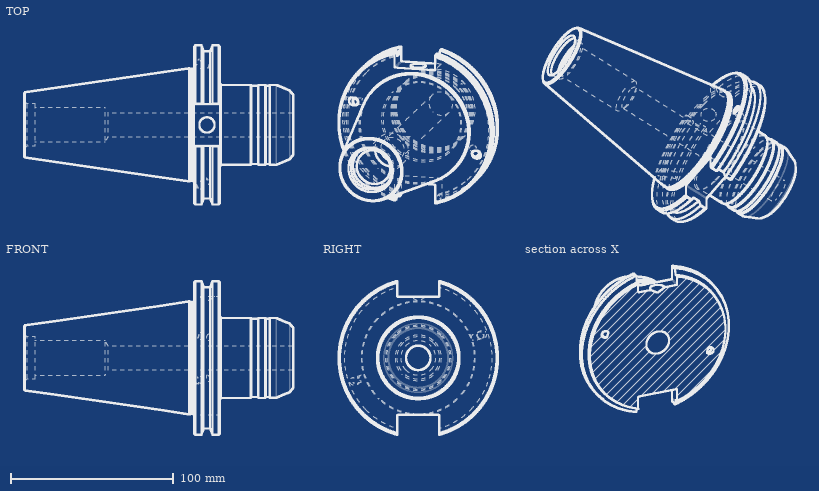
import cadquery as cq
import math

LENGTH = 166.1

TAPER_RATIO = 7 / 24
TAPER_LENGTH = 101.8
TAPER_LARGE_DIAMETER = 70.0
TAPER_SMALL_DIAMETER = TAPER_LARGE_DIAMETER - TAPER_LENGTH * TAPER_RATIO
TAPER_END_CHAMFER = 0.7

RELIEF_DIAMETER = 69.3
RELIEF_START = 102.8
RELIEF_ROOT_CHAMFER = 0.5

FLANGE_START = 104.8
FLANGE_WIDTH = 16.0
FLANGE_END = FLANGE_START + FLANGE_WIDTH
FLANGE_MIDDLE = (FLANGE_START + FLANGE_END) / 2
FLANGE_DIAMETER = 98.5
FLANGE_CHAMFER = 1.0
GROOVE_DIAMETER = 91.0
GROOVE_MOUTH_WIDTH = 7.0
GROOVE_FLOOR_WIDTH = 4.0

SLOT_WIDTH = 25.7
TOP_SLOT_FLOOR = 37.7
BOTTOM_SLOT_FLOOR = 35.2
SLOT_CORNER_RADIUS = 0.5
SLOT_RIM_CHAMFER = 0.3
DIMPLE_DIAMETER = 9.5
DIMPLE_POINT_ANGLE = 118

NECK_DIAMETER = 49.5
NECK_ROOT_CHAMFER = 0.8
RING_GROOVE_DIAMETER = 48.5
RING_GROOVES = ((139.5, 144.7), (148.5, 151.6))
RING_GROOVE_EDGE_BREAK = 0.2
RING_GROOVE_RAMP = 0.3
NOSE_START = 155.5
NOSE_TIP_START = 163.8
NOSE_TIP_DIAMETER = 42.5
NOSE_END_DIAMETER = 36.9
NOSE_EDGE_RADIUS = 0.8

BORE_MOUTH_DIAMETER = 28.4
BORE_PILOT_DIAMETER = 26.2
BORE_MOUTH_CONE_DEPTH = 1.8
BORE_PILOT_DEPTH = 6.6
BORE_DRILL_DIAMETER = 21.5
BORE_DRILL_DEPTH = 49.8
BORE_DRILL_POINT_ANGLE = 118
THROUGH_DIAMETER = 15.0

COOLANT_RADIUS = 41.9
COOLANT_ANGLE = 20
COOLANT_TILT = 30
COOLANT_MOUTH_DIAMETER = 5.0
COOLANT_MOUTH_DEPTH = 2.2
COOLANT_DIAMETER = 4.2
COOLANT_DEPTH = 10.0


def revolve_profile(points):
    """Revolve (x, radius) points, closed along the axis, about the X axis."""
    return cq.Workplane("XY").polyline(points).close().revolve(360, (0, 0, 0), (1, 0, 0))


def turned_body():
    """Solid of all turned outer surfaces, with the nose edges rounded."""
    flange_radius = FLANGE_DIAMETER / 2
    neck_radius = NECK_DIAMETER / 2
    points = [
        (0, 0),
        (0, TAPER_SMALL_DIAMETER / 2 - TAPER_END_CHAMFER),
        (TAPER_END_CHAMFER, (TAPER_SMALL_DIAMETER + TAPER_END_CHAMFER * TAPER_RATIO) / 2),
        (TAPER_LENGTH, TAPER_LARGE_DIAMETER / 2),
        (RELIEF_START, RELIEF_DIAMETER / 2),
        (FLANGE_START - RELIEF_ROOT_CHAMFER, RELIEF_DIAMETER / 2),
        (FLANGE_START, RELIEF_DIAMETER / 2 + RELIEF_ROOT_CHAMFER),
        (FLANGE_START, flange_radius - FLANGE_CHAMFER),
        (FLANGE_START + FLANGE_CHAMFER, flange_radius),
        (FLANGE_MIDDLE - GROOVE_MOUTH_WIDTH / 2, flange_radius),
        (FLANGE_MIDDLE - GROOVE_FLOOR_WIDTH / 2, GROOVE_DIAMETER / 2),
        (FLANGE_MIDDLE + GROOVE_FLOOR_WIDTH / 2, GROOVE_DIAMETER / 2),
        (FLANGE_MIDDLE + GROOVE_MOUTH_WIDTH / 2, flange_radius),
        (FLANGE_END - FLANGE_CHAMFER, flange_radius),
        (FLANGE_END, flange_radius - FLANGE_CHAMFER),
        (FLANGE_END, neck_radius + NECK_ROOT_CHAMFER),
        (FLANGE_END + NECK_ROOT_CHAMFER, neck_radius),
    ]
    for start, end in RING_GROOVES:
        points += [
            (start, neck_radius),
            (start + RING_GROOVE_RAMP, neck_radius - RING_GROOVE_EDGE_BREAK),
            (start + 2 * RING_GROOVE_RAMP, RING_GROOVE_DIAMETER / 2),
            (end - RING_GROOVE_RAMP, RING_GROOVE_DIAMETER / 2),
            (end, neck_radius),
        ]
    points += [
        (NOSE_START, neck_radius),
        (NOSE_TIP_START, NOSE_TIP_DIAMETER / 2),
        (LENGTH, NOSE_END_DIAMETER / 2),
        (LENGTH, 0),
    ]
    body = revolve_profile(points)
    nose_edges = body.edges(cq.selectors.BoxSelector(
        (NOSE_START - NOSE_EDGE_RADIUS, -neck_radius, -neck_radius),
        (LENGTH + NOSE_EDGE_RADIUS, neck_radius, neck_radius),
    )).edges("%CIRCLE")
    return nose_edges.fillet(NOSE_EDGE_RADIUS)


def point_depth(large_diameter, small_diameter, point_angle):
    """Axial length of a cone between two diameters."""
    return (large_diameter - small_diameter) / 2 / math.tan(math.radians(point_angle / 2))


def stepped_bore():
    cone_depth = point_depth(BORE_DRILL_DIAMETER, THROUGH_DIAMETER, BORE_DRILL_POINT_ANGLE)
    return revolve_profile([
        (0, 0),
        (0, BORE_MOUTH_DIAMETER / 2),
        (BORE_MOUTH_CONE_DEPTH, BORE_PILOT_DIAMETER / 2),
        (BORE_PILOT_DEPTH, BORE_PILOT_DIAMETER / 2),
        (BORE_PILOT_DEPTH, BORE_DRILL_DIAMETER / 2),
        (BORE_DRILL_DEPTH, BORE_DRILL_DIAMETER / 2),
        (BORE_DRILL_DEPTH + cone_depth, THROUGH_DIAMETER / 2),
        (LENGTH, THROUGH_DIAMETER / 2),
        (LENGTH, 0),
    ])


def drive_slot(floor, side):
    """Slot cutter outside the given floor distance; side is +1 for +Z and -1 for -Z."""
    height = FLANGE_DIAMETER / 2
    floor_edges = "|X and <Z" if side > 0 else "|X and >Z"
    return (
        cq.Workplane("XY")
        .box(FLANGE_WIDTH, SLOT_WIDTH, height)
        .translate((FLANGE_MIDDLE, 0, side * (floor + height / 2)))
        .edges(floor_edges)
        .fillet(SLOT_CORNER_RADIUS)
    )


def chamfer_slot_rims(body):
    """Break the edges where the slot walls meet the flange rim."""
    half_width = SLOT_WIDTH / 2 + SLOT_RIM_CHAMFER
    inner = GROOVE_DIAMETER / 2
    outer = FLANGE_DIAMETER / 2
    for low, high in ((inner, outer), (-outer, -inner)):
        rim_zone = cq.selectors.BoxSelector(
            (FLANGE_START, -half_width, low), (FLANGE_END, half_width, high))
        body = body.edges("|X").edges(rim_zone).chamfer(SLOT_RIM_CHAMFER)
    return body


def slot_dimple():
    depth = point_depth(DIMPLE_DIAMETER, 0, DIMPLE_POINT_ANGLE)
    cone = cq.Solid.makeCone(
        DIMPLE_DIAMETER / 2, 0, depth,
        cq.Vector(FLANGE_MIDDLE, 0, TOP_SLOT_FLOOR), cq.Vector(0, 0, -1),
    )
    return cq.Workplane(cone)


def coolant_hole(angle):
    """Stepped blind hole leaning toward the axis; angle is measured from +Y toward +Z."""
    tilt = math.radians(COOLANT_TILT)
    outward = cq.Vector(0, math.cos(math.radians(angle)), math.sin(math.radians(angle)))
    direction = cq.Vector(math.cos(tilt), 0, 0) - outward * math.sin(tilt)
    entry = cq.Vector(FLANGE_START, 0, 0) + outward * COOLANT_RADIUS
    lead = COOLANT_MOUTH_DIAMETER
    start = entry - direction * lead
    mouth = cq.Solid.makeCylinder(
        COOLANT_MOUTH_DIAMETER / 2, lead + COOLANT_MOUTH_DEPTH, start, direction)
    drill = cq.Solid.makeCylinder(COOLANT_DIAMETER / 2, lead + COOLANT_DEPTH, start, direction)
    return cq.Workplane(mouth.fuse(drill))


result = turned_body().cut(stepped_bore())
result = result.cut(drive_slot(TOP_SLOT_FLOOR, 1)).cut(drive_slot(BOTTOM_SLOT_FLOOR, -1))
result = chamfer_slot_rims(result)
result = result.cut(slot_dimple())
for hole_angle in (COOLANT_ANGLE, COOLANT_ANGLE + 180):
    result = result.cut(coolant_hole(hole_angle))